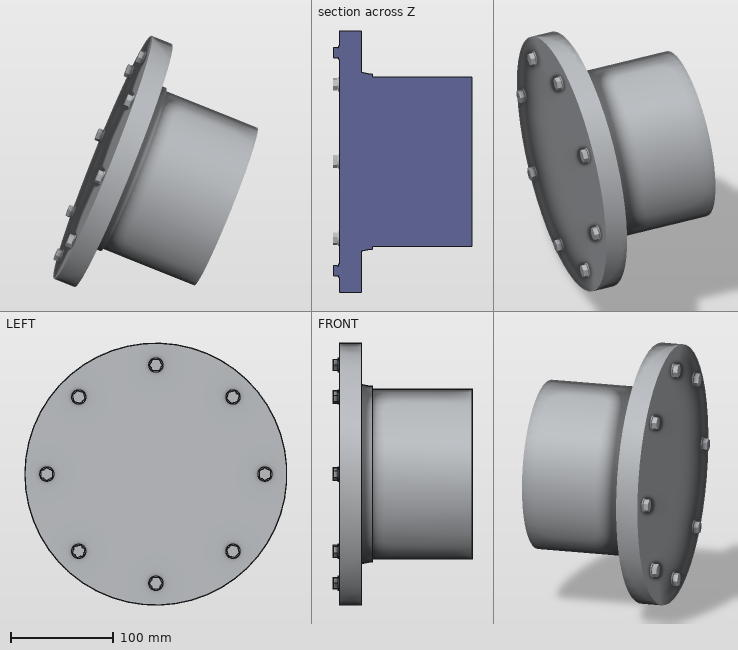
import cadquery as cq
import math

total_length = 136.0

flange_diameter = 256.0
flange_thickness = 21.6

pipe_diameter = 166.0
collar_diameter = 172.0
collar_root_diameter = 175.0
collar_taper_length = 7.6
collar_length = 10.7

bolt_count = 8
bolt_circle_diameter = 213.0
washer_diameter = 14.0
washer_thickness = 1.2
neck_diameter = 9.4
neck_height = 0.4
head_width_across_flats = 11.0
head_height = 4.6

pipe_end_x = total_length - washer_thickness - neck_height - head_height
collar_taper_end_x = flange_thickness + collar_taper_length
collar_end_x = flange_thickness + collar_length


def make_body():
    """Revolve the flange, tapered collar and pipe stub about the X axis."""
    profile = [
        (0, 0),
        (0, flange_diameter / 2),
        (flange_thickness, flange_diameter / 2),
        (flange_thickness, collar_root_diameter / 2),
        (collar_taper_end_x, collar_diameter / 2),
        (collar_end_x, collar_diameter / 2),
        (collar_end_x, pipe_diameter / 2),
        (pipe_end_x, pipe_diameter / 2),
        (pipe_end_x, 0),
    ]
    return cq.Workplane("XY").polyline(profile).close().revolve(360, (0, 0), (1, 0))


def make_bolt():
    """Washer, neck and hexagon head at the +Y point of the bolt circle, pointing toward -X."""
    head_width_across_corners = head_width_across_flats / math.cos(math.pi / 6)
    bolt_face = cq.Workplane("YZ").center(bolt_circle_diameter / 2, 0)
    washer = bolt_face.circle(washer_diameter / 2).extrude(-washer_thickness)
    neck = (
        bolt_face.workplane(offset=-washer_thickness)
        .circle(neck_diameter / 2)
        .extrude(-neck_height)
    )
    head = (
        bolt_face.workplane(offset=-washer_thickness - neck_height)
        .transformed(rotate=(0, 0, 90))
        .polygon(6, head_width_across_corners)
        .extrude(-head_height)
    )
    return washer.union(neck).union(head)


result = make_body()
bolt = make_bolt()
for index in range(bolt_count):
    bolt_angle = index * 360 / bolt_count
    result = result.union(bolt.rotate((0, 0, 0), (1, 0, 0), bolt_angle))